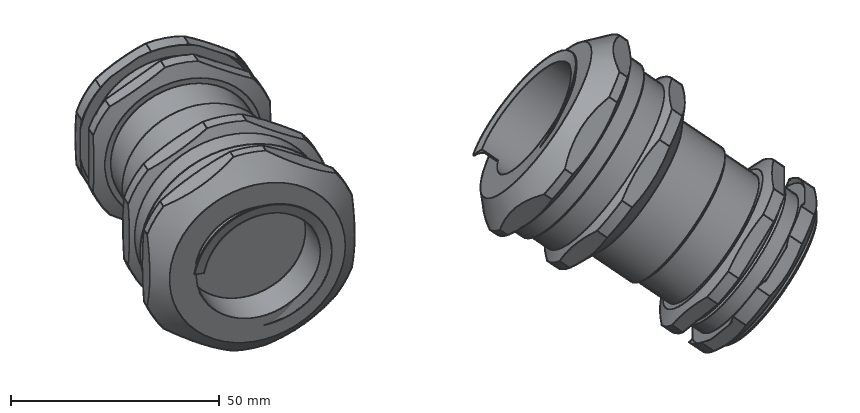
import cadquery as cq
import math


LENGTH = 74.9
THREAD_END_X = 9.8
GROOVE_X = 10.3
ENTRY_HEX_X = 12
ENTRY_HEX_CHAMFER_X = 15.2
NECK_X = 16.6
COLLAR_X = 26.8
MIDDLE_CONE_X = 40.3
MIDDLE_HEX_X = 44.4
MIDDLE_HEX_CHAMFER_X = 47.5
BARREL_X = 48.9
BAND_X = 55.5
BACK_NUT_X = 60.0
BACK_HEX_X = 61.5
BACK_HEX_CHAMFER_X = 63.9
BACK_FACE_X = 69.4

THREAD_D = 40.0
GROOVE_D = 38.8
NECK_D = 37.0
COLLAR_D = 38.8
BARREL_D = 47.8
BAND_D = 50.0
BACK_FACE_D = 44.6

ENTRY_FLATS = 44.9
ENTRY_CORNER_D = 47.8
MIDDLE_FLATS = 50.0
MIDDLE_CORNER_D = 52.9
BACK_FLATS = 52.0
BACK_CORNER_D = 55.9

THREAD_CHAMFER_LENGTH = 0.45
COLLAR_CHAMFER_LENGTH = 0.6
BAND_CHAMFER = 0.3

MOUTH_D = 37.3
MOUTH_DEPTH = 0.6
BORE_D = 37.0
SHOULDER_X = 10.8
SEAT_D = 36.2
SEAT_X = 12.5
SEAT_FLOOR_X = 15.1
SEAT_FLOOR_D = 32.35
RECESS_D = 27.0
RECESS_DEPTH = 1.35

SEAL_D = 31.9
SEAL_BORE_D = 31.1
LIP_D = 36.5
SEAL_PITCH = 7.8
SEAL_HEIGHT = 6.75
SEAL_START_ANGLE = 12
FLARE_LENGTH = 1.95
RIM_WIDTH = 0.4
FLARE_BEND_X = 0.55
FLARE_BEND_R = 0.3
INNER_FLARE_LENGTH = 0.7
SEAL_ALLOWANCE = 0.6

LOCKNUT_X = 1.4
LOCKNUT_CHAMFER_X = 3.15
LOCKNUT_BACK_X = 6
LOCKNUT_END_X = 7.05
LOCKNUT_FACE_D = 41.9
LOCKNUT_BACK_D = 45.7
LOCKNUT_CORNER_D = 47.3
LOCKNUT_FLATS = 44.9


def turned(outline):
    """Solid of revolution about X from an outline of (x, radius) points."""
    return cq.Workplane("XY").polyline(outline).close().revolve(360, (0, 0, 0), (1, 0, 0))


def hexagon(start_x, end_x, flats):
    """Hexagonal prism along X with two flats square to Y and corners at +Z and -Z."""
    corners_d = flats / math.cos(math.pi / 6)
    prism = cq.Workplane("YZ").workplane(offset=start_x).polygon(6, corners_d).extrude(end_x - start_x)
    return prism.rotate((0, 0, 0), (1, 0, 0), 90)


def turned_hexagon(outline, flats):
    """Turned shape whose outside is trimmed to a hexagon."""
    stations = [x for x, radius in outline]
    return turned(outline).intersect(hexagon(min(stations), max(stations), flats))


def make_threaded_spigot():
    """Threaded end, its relief groove and the rounded bead against the entry hexagon."""
    bead_middle_x = (GROOVE_X + ENTRY_HEX_X) / 2
    return (
        cq.Workplane("XY")
        .moveTo(0, 0)
        .lineTo(0, GROOVE_D / 2)
        .lineTo(THREAD_CHAMFER_LENGTH, THREAD_D / 2)
        .lineTo(THREAD_END_X, THREAD_D / 2)
        .lineTo(GROOVE_X, GROOVE_D / 2)
        .threePointArc((bead_middle_x, THREAD_D / 2), (ENTRY_HEX_X, GROOVE_D / 2))
        .lineTo(ENTRY_HEX_X, 0)
        .close()
        .revolve(360, (0, 0, 0), (1, 0, 0))
    )


def make_entry_hexagon():
    """Hexagon behind the thread, chamfered on its far side."""
    return turned_hexagon(
        [
            (ENTRY_HEX_X, 0),
            (ENTRY_HEX_X, ENTRY_CORNER_D / 2),
            (ENTRY_HEX_CHAMFER_X, ENTRY_CORNER_D / 2),
            (NECK_X, THREAD_D / 2),
            (NECK_X, 0),
        ],
        ENTRY_FLATS,
    )


def make_neck_and_collar():
    """Slim neck with a slightly wider collar after it."""
    return turned(
        [
            (NECK_X, 0),
            (NECK_X, NECK_D / 2),
            (COLLAR_X, NECK_D / 2),
            (COLLAR_X + COLLAR_CHAMFER_LENGTH, COLLAR_D / 2),
            (MIDDLE_CONE_X, COLLAR_D / 2),
            (MIDDLE_CONE_X, 0),
        ]
    )


def make_middle_hexagon():
    """Hexagon at the wide end of the collar, with a long cone leading up to it."""
    return turned_hexagon(
        [
            (MIDDLE_CONE_X, 0),
            (MIDDLE_CONE_X, COLLAR_D / 2),
            (MIDDLE_HEX_X, MIDDLE_CORNER_D / 2),
            (MIDDLE_HEX_CHAMFER_X, MIDDLE_CORNER_D / 2),
            (BARREL_X, BARREL_D / 2),
            (BARREL_X, 0),
        ],
        MIDDLE_FLATS,
    )


def make_barrel_and_band():
    """Cylindrical barrel and the wider band next to the back hexagon."""
    return turned(
        [
            (BARREL_X, 0),
            (BARREL_X, BARREL_D / 2),
            (BAND_X, BARREL_D / 2),
            (BAND_X, BAND_D / 2 - BAND_CHAMFER),
            (BAND_X + BAND_CHAMFER, BAND_D / 2),
            (BACK_NUT_X, BAND_D / 2),
            (BACK_NUT_X, 0),
        ]
    )


def make_back_hexagon():
    """Largest hexagon, with a wide chamfer down to the back face."""
    return turned_hexagon(
        [
            (BACK_NUT_X, 0),
            (BACK_NUT_X, BAND_D / 2),
            (BACK_HEX_X, BACK_CORNER_D / 2),
            (BACK_HEX_CHAMFER_X, BACK_CORNER_D / 2),
            (BACK_FACE_X, BACK_FACE_D / 2),
            (BACK_FACE_X, 0),
        ],
        BACK_FLATS,
    )


def make_helical_seal():
    """Thin flared tube swept through one turn of a helix, so its lip ends in a step at the -Y side."""
    angle = math.radians(SEAL_START_ANGLE)
    start_direction = (0, -math.cos(angle), math.sin(angle))
    start_point = (LENGTH - SEAL_PITCH, 0, 0)
    section_plane = cq.Plane(
        origin=start_point,
        xDir=start_direction,
        normal=(0, math.sin(angle), math.cos(angle)),
    )
    path_plane = cq.Plane(origin=start_point, xDir=start_direction, normal=(1, 0, 0))
    helix = cq.Wire.makeHelix(SEAL_PITCH, SEAL_PITCH, SEAL_D / 2).moved(cq.Location(path_plane))

    inner_r = SEAL_BORE_D / 2 - SEAL_ALLOWANCE
    inner_flare_slope = INNER_FLARE_LENGTH / (LIP_D / 2 - SEAL_BORE_D / 2)
    inner_flare_x = -inner_flare_slope * (LIP_D / 2 - inner_r)
    flare_run = FLARE_LENGTH - RIM_WIDTH
    flare_rise = (LIP_D - SEAL_D) / 2
    section = (
        cq.Workplane(section_plane)
        .moveTo(inner_r, -SEAL_HEIGHT)
        .lineTo(SEAL_D / 2, -SEAL_HEIGHT)
        .lineTo(SEAL_D / 2, -FLARE_LENGTH)
        .threePointArc(
            (SEAL_D / 2 + FLARE_BEND_R * flare_rise, -FLARE_LENGTH + FLARE_BEND_X * flare_run),
            (LIP_D / 2, -RIM_WIDTH),
        )
        .lineTo(LIP_D / 2, 0)
        .lineTo(inner_r, inner_flare_x)
        .close()
    )
    return section.sweep(cq.Workplane(helix), isFrenet=True)


def make_seal_bore():
    """Blind bore through the seal and the back nut."""
    return turned(
        [
            (BACK_NUT_X, 0),
            (BACK_NUT_X, SEAL_BORE_D / 2),
            (LENGTH, SEAL_BORE_D / 2),
            (LENGTH, 0),
        ]
    )


def make_entry_bore():
    """Stepped blind bore: chamfered mouth, rounded shoulder, filleted seat and shallow recess."""
    shoulder_step = (BORE_D - SEAT_D) / 2
    shoulder_length = SEAT_X - SHOULDER_X
    shoulder_round = (shoulder_length**2 + shoulder_step**2) / (2 * shoulder_step)
    seat_fillet = (SEAT_D - SEAT_FLOOR_D) / 2
    recess_floor_x = SEAT_FLOOR_X + RECESS_DEPTH
    return (
        cq.Workplane("XY")
        .moveTo(0, 0)
        .lineTo(0, MOUTH_D / 2)
        .lineTo(MOUTH_DEPTH, BORE_D / 2)
        .lineTo(SHOULDER_X, BORE_D / 2)
        .radiusArc((SEAT_X, SEAT_D / 2), -shoulder_round)
        .lineTo(SEAT_FLOOR_X - seat_fillet, SEAT_D / 2)
        .radiusArc((SEAT_FLOOR_X, SEAT_FLOOR_D / 2), seat_fillet)
        .lineTo(SEAT_FLOOR_X, RECESS_D / 2)
        .lineTo(recess_floor_x, RECESS_D / 2)
        .lineTo(recess_floor_x, 0)
        .close()
        .revolve(360, (0, 0, 0), (1, 0, 0))
    )


def make_gland_body():
    """Gland body with its seal, bored from both ends but closed in between."""
    return (
        make_threaded_spigot()
        .union(make_entry_hexagon())
        .union(make_neck_and_collar())
        .union(make_middle_hexagon())
        .union(make_barrel_and_band())
        .union(make_back_hexagon())
        .union(make_helical_seal())
        .cut(make_seal_bore())
        .cut(make_entry_bore())
    )


def make_locknut():
    """Hexagonal nut whose corners reach further back than its flat rear face."""
    return turned_hexagon(
        [
            (LOCKNUT_X, THREAD_D / 2),
            (LOCKNUT_X, LOCKNUT_FACE_D / 2),
            (LOCKNUT_CHAMFER_X, LOCKNUT_CORNER_D / 2),
            (LOCKNUT_END_X, LOCKNUT_CORNER_D / 2),
            (LOCKNUT_BACK_X, LOCKNUT_BACK_D / 2),
            (LOCKNUT_BACK_X, THREAD_D / 2),
        ],
        LOCKNUT_FLATS,
    )


gland_body = make_gland_body()
locknut = make_locknut()

result = cq.Compound.makeCompound([gland_body.val(), locknut.val()])